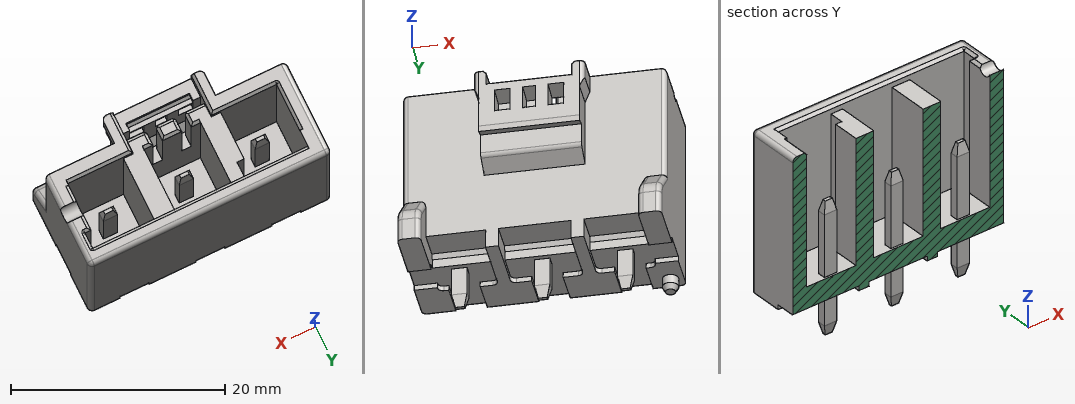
import cadquery as cq


LENGTH = 25.15
HEIGHT = 18.1
BACK = 5.58
FRONT = -4.1
OVERALL_DEPTH = 12.45
FOOT_FRONT = BACK - OVERALL_DEPTH
EDGE_RADIUS = 0.5
HALF = LENGTH / 2
BEYOND_FRONT = FOOT_FRONT - EDGE_RADIUS

BEVEL = 0.3
FLOOR = 3.02
CAVITY_BACK = 4.02
CAVITY_FRONT = -2.6
CAVITY_SIDE = 10.85
SIDE_NICHE = 11.5
NICHE_Y = 2.4
RIM_BEVEL_END = -2.36
MIDDLE_CELL = 2.95
DIVIDER_SIDE = 5.05
DIVIDER_STEP = 4.32
DIVIDER_TOP = 17.25
RIM_NOTCH_RADIUS = 0.78
RIM_NOTCH_Y = 0.08

TOWER_HALF = 4.8
SHOULDER_HALF = 5.25
SHOULDER_BOTTOM = 16.35
SHOULDER_TAPER_BOTTOM = 15.2
LIP_BOTTOM = 11.36
LIP_BEVEL_TOP = 11.92
LIP_BEVEL_DEPTH = 0.1
LIP_ROOT = 11.56
LOWER_FRONT = -5.88
RAMP_TOP = 9.25
RAMP_BOTTOM = 8.2
CHANNEL_HALF = 4.07
CHANNEL_FRONT = -4.88
CHANNEL_FLOOR = 9.3
LATCH_WALL_TOP = 16.62
KEY_INNER = 1.99
KEY_CORNER_BEVEL = 0.25
MIDDLE_KEY_HALF = 1.0
CATCH_HALF = 3.3
CATCH_FRONT = -5.65
CATCH_DEPTH = 0.83
WINDOW_BOTTOM = 13.48
WINDOW_TOP = 15.81
WINDOW_CEILING_DROP = 0.25
SIDE_WINDOW_INNER = 1.8
MIDDLE_WINDOW_HALF = 0.6

FOOT_WIDTH = 2.2
FOOT_KNEE = 3.07
FOOT_ARC_RADIUS = 2.0
FOOT_TOP = 5.98
FOOT_ROOT_TOP = 8.2
MARGIN = 0.03

CHANNEL_HEIGHT = 0.53
END_NOTCH_HALF = 1.53
PIN_CHANNEL_WIDTH = 3.0
RECESS_HEIGHT = 1.95
RECESS_DEPTH = 3.15
RECESS_BEVEL = 0.5
RECESS_BEVEL_DEPTH = 0.25
PAD_SETBACK = 6.23
LEG_INNER = 3.45
LEG_OUTER = 4.68

PITCH = 7.9
PIN_POSITIONS = (-PITCH, 0, PITCH)
PIN_WIDTH = 1.48
PIN_THICKNESS = 0.9
PIN_BOTTOM = -3.7
PIN_TOP = 11.31
PIN_TAPER = 1.28
PIN_TIP_WIDTH = 0.85
PIN_TIP_THICKNESS = 0.35
PEG_X = 11.3
PEG_Y = 4.35
PEG_RADIUS = 0.78
PEG_TIP_RADIUS = 0.48
PEG_LENGTH = 1.45
PEG_TAPER = 0.55


def block(x_range, y_range, z_range):
    """Box spanning three (low, high) ranges."""
    low, high = zip(x_range, y_range, z_range)
    size = [b - a for a, b in zip(low, high)]
    return cq.Workplane("XY").box(*size, centered=False).translate(low)


def prism_along_x(points, x_range):
    """(Y, Z) polygon extruded along X."""
    start, end = x_range
    return cq.Workplane("YZ", origin=(start, 0, 0)).polyline(points).close().extrude(end - start)


def prism_along_z(points, z_range):
    """(X, Y) polygon extruded along Z."""
    start, end = z_range
    return cq.Workplane("XY", origin=(0, 0, start)).polyline(points).close().extrude(end - start)


def both_sides(shape):
    """Shape together with its mirror image across X = 0."""
    return shape.union(shape.mirror("YZ"))


def housing():
    """Box with rounded uprights and rounded top edges, except along the front."""
    return (
        block((-HALF, HALF), (FRONT, BACK), (0, HEIGHT))
        .edges("|Z or (>Z and (>X or <X or >Y))")
        .fillet(EDGE_RADIUS)
    )


def tower():
    """Latch tower with its undercut lip, rear ramp and wider shoulders."""
    profile = [
        (CAVITY_FRONT, HEIGHT),
        (FOOT_FRONT, HEIGHT),
        (FOOT_FRONT, LIP_BEVEL_TOP),
        (FOOT_FRONT + LIP_BEVEL_DEPTH, LIP_BOTTOM),
        (LOWER_FRONT, LIP_ROOT),
        (LOWER_FRONT, RAMP_TOP),
        (FRONT, RAMP_BOTTOM),
        (CAVITY_FRONT, RAMP_BOTTOM),
    ]
    lower_corner = cq.selectors.NearestToPointSelector((0, LOWER_FRONT, RAMP_TOP))
    core = prism_along_x(profile, (-TOWER_HALF, TOWER_HALF)).edges(lower_corner).fillet(EDGE_RADIUS)
    outline = [
        (SHOULDER_HALF, HEIGHT),
        (SHOULDER_HALF, SHOULDER_BOTTOM),
        (TOWER_HALF, SHOULDER_TAPER_BOTTOM),
        (-TOWER_HALF, SHOULDER_TAPER_BOTTOM),
        (-SHOULDER_HALF, SHOULDER_BOTTOM),
        (-SHOULDER_HALF, HEIGHT),
    ]
    depth = CAVITY_FRONT - FOOT_FRONT
    tapered = cq.Workplane("XZ", origin=(0, CAVITY_FRONT, 0)).polyline(outline).close().extrude(depth)
    rounded = (
        block((-SHOULDER_HALF, SHOULDER_HALF), (FOOT_FRONT, CAVITY_FRONT), (SHOULDER_TAPER_BOTTOM, HEIGHT))
        .edges("|Z and <Y")
        .fillet(EDGE_RADIUS)
    )
    return core.union(tapered.intersect(rounded))


def left_foot():
    """Foot that slopes out below the front wall, with rounded front edges.

    It runs on inside the housing, so only the part in front of the wall adds material.
    """
    points = [
        (FOOT_FRONT, 0),
        (FOOT_FRONT, FOOT_KNEE),
        (FRONT, FOOT_TOP),
        (FRONT, FOOT_ROOT_TOP),
        (0, FOOT_ROOT_TOP),
        (0, 0),
    ]
    knee = cq.selectors.NearestToPointSelector((-HALF + FOOT_WIDTH / 2, FOOT_FRONT, FOOT_KNEE))
    slab = prism_along_x(points, (-HALF, -HALF + FOOT_WIDTH)).edges(knee).fillet(FOOT_ARC_RADIUS)
    front = cq.selectors.BoxSelector(
        (-LENGTH, FOOT_FRONT - MARGIN, MARGIN), (LENGTH, FRONT + MARGIN, FOOT_ROOT_TOP - MARGIN)
    )
    return slab.edges("<X or >X").edges(front).fillet(EDGE_RADIUS)


def open_top():
    """Space above the dividers: cavity and latch channel, flared along the rim."""
    outline = [
        (-CAVITY_SIDE, CAVITY_BACK),
        (SIDE_NICHE, CAVITY_BACK),
        (SIDE_NICHE, NICHE_Y),
        (CAVITY_SIDE, NICHE_Y),
        (CAVITY_SIDE, CAVITY_FRONT),
        (CHANNEL_HALF, CAVITY_FRONT),
        (CHANNEL_HALF, BEYOND_FRONT),
        (-CHANNEL_HALF, BEYOND_FRONT),
        (-CHANNEL_HALF, CAVITY_FRONT),
        (-CAVITY_SIDE, CAVITY_FRONT),
    ]
    flare = (
        cq.Workplane("XY", origin=(0, 0, HEIGHT - BEVEL))
        .polyline(outline)
        .close()
        .extrude(BEVEL, taper=-45)
    )
    rim = (HEIGHT - BEVEL, HEIGHT)
    flare = flare.cut(block((-HALF, -CAVITY_SIDE), (NICHE_Y, BACK), rim))
    flare = flare.cut(block((CAVITY_SIDE, HALF), (FRONT, RIM_BEVEL_END), rim))
    return prism_along_z(outline, (DIVIDER_TOP, HEIGHT)).union(flare)


def cells():
    """Three pin cells separated by two dividers; the left divider is stepped."""
    depth = (FLOOR, HEIGHT)
    left = [
        (-CAVITY_SIDE, CAVITY_FRONT),
        (-DIVIDER_SIDE, CAVITY_FRONT),
        (-DIVIDER_SIDE, NICHE_Y),
        (-DIVIDER_STEP, NICHE_Y),
        (-DIVIDER_STEP, CAVITY_BACK),
        (-CAVITY_SIDE, CAVITY_BACK),
    ]
    right = [
        (DIVIDER_SIDE, CAVITY_FRONT),
        (CAVITY_SIDE, CAVITY_FRONT),
        (CAVITY_SIDE, NICHE_Y),
        (SIDE_NICHE, NICHE_Y),
        (SIDE_NICHE, CAVITY_BACK),
        (DIVIDER_SIDE, CAVITY_BACK),
    ]
    middle = block((-MIDDLE_CELL, MIDDLE_CELL), (CAVITY_FRONT, CAVITY_BACK), depth)
    return middle.union(prism_along_z(left, depth)).union(prism_along_z(right, depth))


def key(x_range):
    """Keying rib standing in the latch channel, bevelled on top and down its front corners."""
    rib = block(x_range, (FRONT, CAVITY_FRONT), (0, DIVIDER_TOP))
    return rib.edges(">Z").chamfer(BEVEL).edges("|Z and <Y").chamfer(KEY_CORNER_BEVEL)


def latch_channel():
    """Channel between cavity and latch wall, with three keying ribs left standing."""
    profile = [
        (CAVITY_FRONT, HEIGHT),
        (CAVITY_FRONT, CHANNEL_FLOOR),
        (FRONT, CHANNEL_FLOOR),
        (CHANNEL_FRONT, CHANNEL_FLOOR + FRONT - CHANNEL_FRONT),
        (CHANNEL_FRONT, HEIGHT),
    ]
    channel = prism_along_x(profile, (-CHANNEL_HALF, CHANNEL_HALF))
    side_key = key((KEY_INNER, DIVIDER_SIDE))
    divider_end = block((MIDDLE_CELL, DIVIDER_SIDE), (FRONT + BEVEL, CAVITY_FRONT), (0, DIVIDER_TOP))
    channel = channel.cut(both_sides(side_key.union(divider_end)))
    return channel.cut(key((-MIDDLE_KEY_HALF, MIDDLE_KEY_HALF)))


def latch_openings():
    """Lowered top of the latch wall, its catch recess and its three windows."""
    span = (-CHANNEL_HALF, CHANNEL_HALF)
    opening = block(span, (BEYOND_FRONT, CHANNEL_FRONT), (LATCH_WALL_TOP, HEIGHT))
    catch_floor = LATCH_WALL_TOP - CATCH_DEPTH
    catch_profile = [
        (CHANNEL_FRONT, LATCH_WALL_TOP),
        (CHANNEL_FRONT, catch_floor),
        (CATCH_FRONT + BEVEL, catch_floor),
        (CATCH_FRONT, catch_floor + BEVEL),
        (CATCH_FRONT, LATCH_WALL_TOP),
    ]
    opening = opening.union(prism_along_x(catch_profile, (-CATCH_HALF, CATCH_HALF)))
    window_profile = [
        (FOOT_FRONT, WINDOW_BOTTOM),
        (FOOT_FRONT, WINDOW_TOP),
        (CHANNEL_FRONT, WINDOW_TOP - WINDOW_CEILING_DROP),
        (CHANNEL_FRONT, WINDOW_BOTTOM),
    ]
    side_window = prism_along_x(window_profile, (SIDE_WINDOW_INNER, CATCH_HALF))
    middle_window = prism_along_x(window_profile, (-MIDDLE_WINDOW_HALF, MIDDLE_WINDOW_HALF))
    return opening.union(both_sides(side_window)).union(middle_window)


def rim_notch():
    """Half-round notch across the rim of the right wall."""
    notch = cq.Workplane("YZ", origin=(CAVITY_SIDE - BEVEL, 0, 0)).center(RIM_NOTCH_Y, HEIGHT)
    return notch.circle(RIM_NOTCH_RADIUS).extrude(HALF)


def front_recess(x_range):
    """Recess under the front wall between two legs, deeper at the level of the standoff pads."""
    recess = (
        block(x_range, (FRONT, FRONT + RECESS_DEPTH), (0, RECESS_HEIGHT))
        .edges(">Z and >Y")
        .chamfer(RECESS_BEVEL, RECESS_BEVEL_DEPTH)
    )
    pad_clearance = (
        block(x_range, (FRONT, FRONT + PAD_SETBACK), (0, CHANNEL_HEIGHT))
        .edges("|Z and >Y")
        .fillet(EDGE_RADIUS)
    )
    return recess.union(pad_clearance)


def underside():
    """Channels across the pin row, notches in both ends, and the recesses between the legs."""
    level = (0, CHANNEL_HEIGHT)
    space = both_sides(block((PITCH, HALF), (-END_NOTCH_HALF, END_NOTCH_HALF), level))
    for x in PIN_POSITIONS:
        half_width = PIN_CHANNEL_WIDTH / 2
        space = space.union(block((x - half_width, x + half_width), (FRONT, BACK), level))
    space = space.union(front_recess((-LEG_INNER, LEG_INNER)))
    return space.union(both_sides(front_recess((LEG_OUTER, HALF - FOOT_WIDTH))))


def tip(outward, length):
    """Tapered pin end growing from the XY plane."""
    return (
        cq.Workplane("XY")
        .rect(PIN_WIDTH, PIN_THICKNESS)
        .workplane(offset=outward * length)
        .rect(PIN_TIP_WIDTH, PIN_TIP_THICKNESS)
        .loft(ruled=True)
    )


def pin():
    """Rectangular pin pointed at both ends."""
    bottom = PIN_BOTTOM + PIN_TAPER
    top = PIN_TOP - PIN_TAPER
    half_width = PIN_WIDTH / 2
    half_thickness = PIN_THICKNESS / 2
    shaft = block((-half_width, half_width), (-half_thickness, half_thickness), (bottom, top))
    shaft = shaft.union(tip(-1, PIN_TAPER).translate((0, 0, bottom)))
    return shaft.union(tip(1, PIN_TAPER).translate((0, 0, top)))


def peg():
    """Round locating peg with a conical end, revolved about its own axis."""
    outline = [
        (0, CHANNEL_HEIGHT),
        (-PEG_RADIUS, CHANNEL_HEIGHT),
        (-PEG_RADIUS, PEG_TAPER - PEG_LENGTH),
        (-PEG_TIP_RADIUS, -PEG_LENGTH),
        (0, -PEG_LENGTH),
    ]
    turned = cq.Workplane("XZ").polyline(outline).close().revolve(360, (0, 0, 0), (0, 1, 0))
    return turned.translate((PEG_X, PEG_Y, 0))


result = housing().union(tower()).union(both_sides(left_foot()))
for void in (open_top(), cells(), latch_channel(), latch_openings(), rim_notch(), underside()):
    result = result.cut(void)
for pin_x in PIN_POSITIONS:
    result = result.union(pin().translate((pin_x, 0, 0)))
result = result.union(peg())